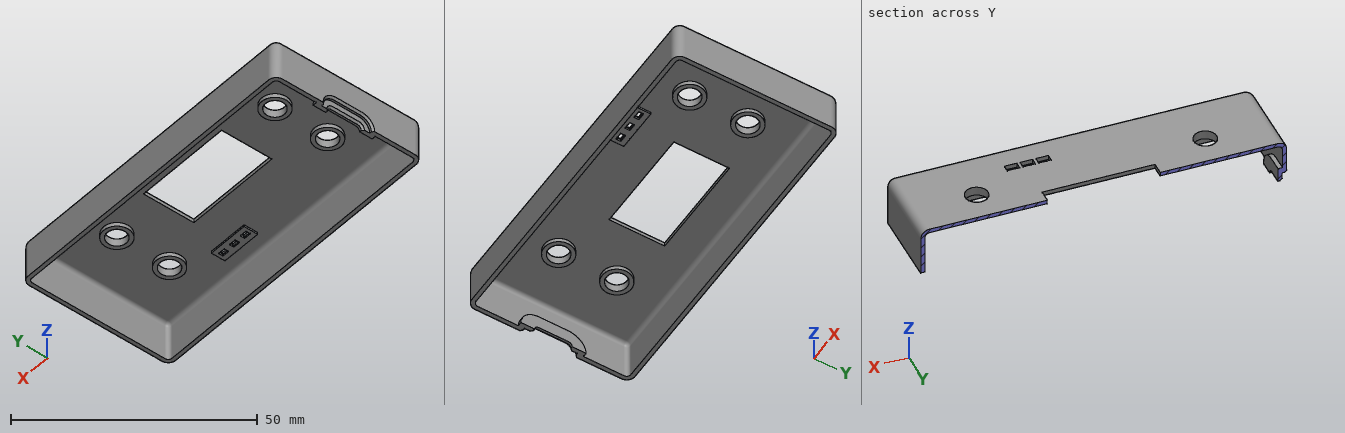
import cadquery as cq

length = 80.0
width = 39.0
height = 10.8
edge_radius = 2.0
wall = edge_radius / 2
inner_radius = edge_radius - wall
ceiling = height - wall

button_diameter = 5.0
button_spacing_x = 49.9
button_spacing_y = 13.9
collar_diameter = button_diameter + 2 * wall
collar_depth = wall

window_length = 24.6
window_width = 13.3
window_center_y = 3.8

slot_count = 3
slot_pitch = 3.4
slot_center_x = 11.4
slot_center_y = -12.8
slot_length = 2.7
slot_width = 1.6
slot_end_ledge = 0.5
slot_side_ledge = 0.2
ledge_thickness = 0.5
slot_plate_length = slot_count * slot_pitch
slot_plate_width = slot_width + 2 * wall

port_straight = 6.9
plug_radius = 3.4
socket_radius = 1.5
port_chamfer = 0.5
socket_plate = wall


def make_box(size_x, size_y, size_z):
    return cq.Workplane("XY").box(size_x, size_y, size_z, centered=(True, True, False))


def make_shell():
    body = make_box(length, width, height).edges("|Z or >Z").fillet(edge_radius)
    cavity = make_box(length - 2 * wall, width - 2 * wall, ceiling)
    return body.cut(cavity.edges("|Z or >Z").fillet(inner_radius))


def make_button_cylinders(diameter, depth):
    """Vertical cylinders at the button positions, reaching down from the top face."""
    return (
        cq.Workplane("XY", origin=(0, 0, height))
        .rect(button_spacing_x, button_spacing_y, forConstruction=True)
        .vertices()
        .circle(diameter / 2)
        .extrude(-depth)
    )


def make_window():
    return make_box(window_length, window_width, height).translate((0, window_center_y, 0))


def make_slot_plate():
    plate = make_box(slot_plate_length, slot_plate_width, ledge_thickness)
    return plate.translate((slot_center_x, slot_center_y, ceiling - ledge_thickness))


def make_slots(size_x, size_y, depth):
    """A row of rectangular pockets cut down from the top face."""
    return (
        cq.Workplane("XY", origin=(slot_center_x, slot_center_y, height))
        .rarray(slot_pitch, 0.8, slot_count, 1)
        .rect(size_x, size_y)
        .extrude(-depth)
    )


def make_half_stadium(radius, start_x, depth, taper=0):
    """Stadium along Y on the bottom plane, trimmed to its upper half and extruded along +X."""
    stadium = (
        cq.Workplane("YZ", origin=(start_x, 0, 0))
        .slot2D(port_straight + 2 * radius, 2 * radius)
        .extrude(depth, taper=taper)
    )
    upper_half = make_box(2 * length, width, height)
    return stadium.intersect(upper_half)


def make_port_opening(radius, start_x, depth):
    """Half-stadium opening whose mouth has a 45 degree chamfer."""
    mouth = make_half_stadium(radius, start_x, port_chamfer, taper=45)
    return mouth.union(make_half_stadium(radius - port_chamfer, start_x, depth))


outer_face_x = -length / 2
inner_face_x = outer_face_x + wall

result = (
    make_shell()
    .union(make_button_cylinders(collar_diameter, wall + collar_depth))
    .union(make_slot_plate())
    .union(make_half_stadium(plug_radius + wall, inner_face_x, socket_plate))
)
result = (
    result.cut(make_button_cylinders(button_diameter, height))
    .cut(make_window())
    .cut(make_slots(slot_length, slot_width, wall))
    .cut(make_slots(slot_length - 2 * slot_end_ledge, slot_width - 2 * slot_side_ledge, height))
    .cut(make_port_opening(plug_radius, outer_face_x, wall))
    .cut(make_port_opening(socket_radius, inner_face_x, socket_plate))
)